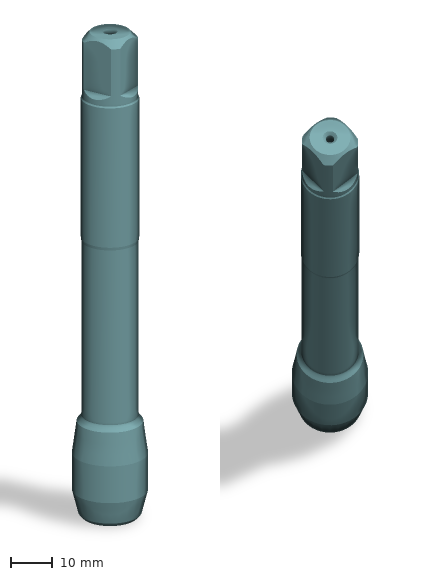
import cadquery as cq
import math

total_length = 125.0

barrel_diameter = 18.2
barrel_bottom = 6.9
barrel_top = 16.4
tip_diameter = 15.2
tip_end_diameter = 13.5
tip_chamfer_height = 1.0
rear_diameter = 16.0
rear_taper_top = 24.6
head_top = 25.2
head_top_diameter = 15.0

neck_diameter = 13.8
neck_bottom = 26.1
neck_step_bottom = 71.2
neck_step_top = 72.0
shank_diameter = 14.0
shank_chamfer_bottom = 108.0
shank_chamfer_height = 0.4

drive_diameter = 13.5
drive_across_flats = 11.0
flat_bottom = 111.0
drive_chamfer = 1.9

centre_mouth_diameter = 3.5
centre_hole_diameter = 2.0
centre_hole_depth = 3.8
centre_drill_point_angle = 120


def revolve_profile(radius_height_points):
    """Turn an outline of (radius, height) points about the Z axis."""
    return cq.Workplane("XZ").polyline(radius_height_points).close().revolve(360, (0, 0), (0, 1))


def make_head():
    """Barrel-shaped head with a small chamfer at its rear."""
    return revolve_profile([
        (0, 0),
        (tip_end_diameter / 2, 0),
        (tip_diameter / 2, tip_chamfer_height),
        (barrel_diameter / 2, barrel_bottom),
        (barrel_diameter / 2, barrel_top),
        (rear_diameter / 2, rear_taper_top),
        (head_top_diameter / 2, head_top),
        (0, head_top),
    ])


def make_turned_shank():
    """Round shank with its flared foot, diameter step and the blank for the drive."""
    drive_radius = drive_diameter / 2
    return revolve_profile([
        (0, head_top),
        (head_top_diameter / 2, head_top),
        (neck_diameter / 2, neck_bottom),
        (neck_diameter / 2, neck_step_bottom),
        (shank_diameter / 2, neck_step_top),
        (shank_diameter / 2, shank_chamfer_bottom),
        (drive_radius, shank_chamfer_bottom + shank_chamfer_height),
        (drive_radius, total_length - drive_chamfer),
        (drive_radius - drive_chamfer, total_length),
        (0, total_length),
    ])


def make_flat_cutter():
    """Cutter for the +X flat, with a 45 degree run-out at its bottom."""
    flat_distance = drive_across_flats / 2
    cutter_reach = shank_diameter
    run_out = cutter_reach - flat_distance
    return (
        cq.Workplane("XZ")
        .polyline([
            (flat_distance, flat_bottom),
            (cutter_reach, flat_bottom - run_out),
            (cutter_reach, total_length),
            (flat_distance, total_length),
        ])
        .close()
        .extrude(shank_diameter / 2, both=True)
    )


def make_centre_hole():
    """Centre hole with a 45 degree countersink and a drill point."""
    mouth_radius = centre_mouth_diameter / 2
    hole_radius = centre_hole_diameter / 2
    countersink_bottom = total_length - (mouth_radius - hole_radius)
    hole_bottom = total_length - centre_hole_depth
    half_point_angle = math.radians(centre_drill_point_angle / 2)
    point_depth = hole_radius / math.tan(half_point_angle)
    return revolve_profile([
        (0, hole_bottom - point_depth),
        (hole_radius, hole_bottom),
        (hole_radius, countersink_bottom),
        (mouth_radius, total_length),
        (0, total_length),
    ])


def make_shank():
    shank = make_turned_shank()
    flat_cutter = make_flat_cutter()
    for angle in (0, 90, 180, 270):
        shank = shank.cut(flat_cutter.rotate((0, 0, 0), (0, 0, 1), angle))
    return shank.cut(make_centre_hole())


head = make_head()
shank = make_shank()

result = cq.Compound.makeCompound([head.val(), shank.val()])